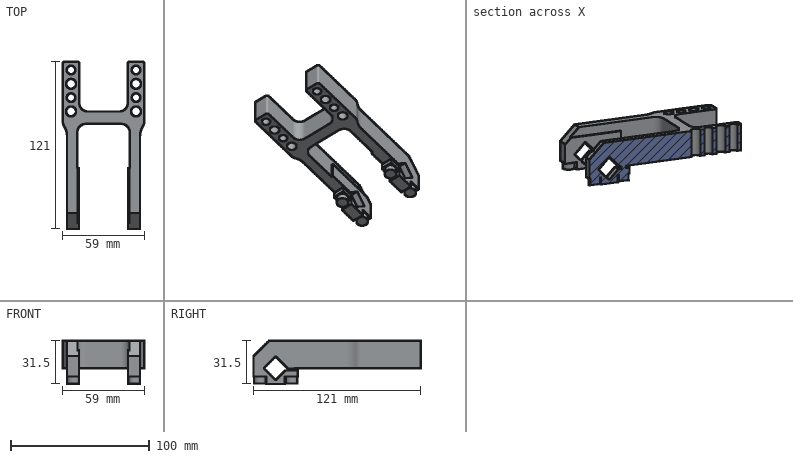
import cadquery as cq
import math

length = 121
width = 59.0
body_height = 20.0
clamp_drop = 11.5

rear_arm_width = 12.1
rear_corner_radius = 1.5
rear_inner_x = width / 2 - rear_arm_width
hole_x = width / 2 - rear_arm_width / 2
hole_end_distance = 6.0
hole_diameters = (6.0, 7.0, 6.0, 7.0)

bar_front_y = 76.0
bar_rear_y = 85.1
hole_pitch = (length - hole_end_distance - bar_rear_y) / (len(hole_diameters) - 1)
inner_radius = 6.0
front_outer_x = 26.5
front_inner_x = 18.9
shoulder_front_y = 67.4
shoulder_concave_radius = 13.0
shoulder_convex_radius = 6.2

pad_inner_x = 17.7
pad_length = 44.3
pad_top_z = 13.1

nose_length = 11.5
nose_drop = 11.3

bore_side = 12.0
bore_y = 16.1
clamp_length = 2 * bore_y
shelf_z = -6.0
slit_bottom_z = -1.5
keel_length = 13.5

screw_spacing = 22.9
shank_diameter = 5.0
head_diameter = 8.5
head_height = 5.0
screw_x = (front_outer_x + pad_inner_x) / 2


def box(x_range, y_range, z_range):
    """Block spanning the given coordinate ranges."""
    sizes = [end - start for start, end in (x_range, y_range, z_range)]
    corner = (x_range[0], y_range[0], z_range[0])
    return cq.Workplane("XY").box(*sizes, centered=False).translate(corner)


def outer_profile():
    """Right half of the fork without its openings; two tangent arcs form the shoulder."""
    half_width = width / 2
    step = half_width - front_outer_x
    radius_sum = shoulder_convex_radius + shoulder_concave_radius
    angle = math.acos(1 - step / radius_sum)
    shoulder_rear_y = shoulder_front_y + radius_sum * math.sin(angle)

    def concave_point(turn):
        return (
            front_outer_x + shoulder_concave_radius * (1 - math.cos(turn)),
            shoulder_front_y + shoulder_concave_radius * math.sin(turn),
        )

    def convex_point(turn):
        return (
            half_width - shoulder_convex_radius * (1 - math.cos(turn)),
            shoulder_rear_y - shoulder_convex_radius * math.sin(turn),
        )

    return (
        cq.Workplane("XY")
        .moveTo(0, 0)
        .lineTo(front_outer_x, 0)
        .lineTo(front_outer_x, shoulder_front_y)
        .threePointArc(concave_point(angle / 2), concave_point(angle))
        .threePointArc(convex_point(angle / 2), (half_width, shoulder_rear_y))
        .lineTo(half_width, length)
        .lineTo(0, length)
        .close()
    )


def half_fork():
    """Right half of the fork with the front and rear openings and the rear holes."""
    body = outer_profile().extrude(body_height)
    front_gap = box((-front_inner_x, front_inner_x), (-bar_front_y, bar_front_y), (0, body_height))
    rear_gap = box((-rear_inner_x, rear_inner_x), (bar_rear_y, length), (0, body_height))
    body = body.cut(front_gap.edges("|Z and >Y").fillet(inner_radius))
    body = body.cut(rear_gap.edges("|Z and <Y").fillet(inner_radius))
    body = body.faces(">Y").edges("|Z").fillet(rear_corner_radius)
    for index, diameter in enumerate(hole_diameters):
        y = length - hole_end_distance - index * hole_pitch
        hole = cq.Workplane("XY").center(hole_x, y).circle(diameter / 2).extrude(body_height)
        body = body.cut(hole)
    return body


def clamp():
    """Pad and clamp on the right front arm, with the square bore through it along X."""
    arm_x = (pad_inner_x, front_outer_x)
    pad = box(arm_x, (0, pad_length), (0, pad_top_z))
    shelf = box(arm_x, (0, clamp_length), (shelf_z, 0))
    keel_y = (bore_y - keel_length / 2, bore_y + keel_length / 2)
    keel = box(arm_x, keel_y, (-clamp_drop, shelf_z))
    slit = box(arm_x, (bore_y, clamp_length), (slit_bottom_z, 0))
    return pad.union(shelf.cut(slit)).union(keel)


def square_bore():
    """Square bar along X, turned onto its corner."""
    return (
        cq.Workplane("YZ")
        .center(bore_y, 0)
        .transformed(rotate=(0, 0, 45))
        .rect(bore_side, bore_side)
        .extrude(width)
    )


def nose_cutter():
    """Wedge that slopes the top front corner of the arm."""
    return (
        cq.Workplane("YZ")
        .moveTo(0, body_height)
        .lineTo(nose_length, body_height)
        .lineTo(0, body_height - nose_drop)
        .close()
        .extrude(width)
    )


def screws():
    """Two screw heads under the shelf and the rear shank crossing the slit."""
    front_y = bore_y - screw_spacing / 2
    rear_y = bore_y + screw_spacing / 2
    heads = (
        cq.Workplane("XY", origin=(0, 0, shelf_z - head_height))
        .pushPoints([(screw_x, front_y), (screw_x, rear_y)])
        .circle(head_diameter / 2)
        .extrude(head_height)
    )
    shank = (
        cq.Workplane("XY", origin=(screw_x, rear_y, shelf_z))
        .circle(shank_diameter / 2)
        .extrude(-shelf_z)
    )
    return heads.union(shank)


right_half = half_fork().union(clamp()).cut(square_bore()).cut(nose_cutter()).union(screws())
result = right_half.union(right_half.mirror("YZ"))